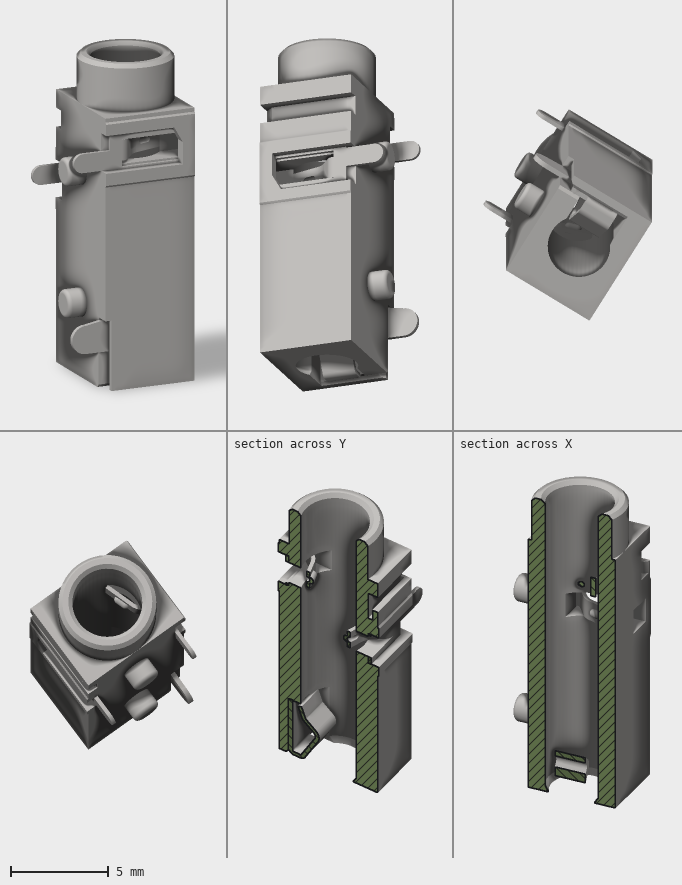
import cadquery as cq
import math

TOTAL_HEIGHT = 17.0
BODY_HEIGHT = 14.5
BODY_HALF_WIDTH = 3.03
SIDE_WIDTH = 6.2
SIDE_HALF_WIDTH = SIDE_WIDTH / 2
BODY_HALF_DEPTH = 2.5
FRONT_Y = -BODY_HALF_DEPTH
BACK_Y = BODY_HALF_DEPTH
TURN_Z = 11.17
HALF_TURN = 180
CUT_OVERSHOOT = 0.34

RIM_CHAMFER = 0.2
BORE_RADIUS = 1.78
BORE_END_RADIUS = 1.6
BORE_CONE_HEIGHT = 0.34

PEG_RADIUS = 0.75
PEG_LENGTH = 1.0
PEG_FILLET = 0.2
PEG_HEIGHTS = (4.0, 11.0)

BAND_BOTTOM = 8.04
BAND_TOP = 11.5
BAND_RAMP = 0.1

GROOVE_FLOOR_X = -2.45
GROOVE_BOTTOM = 12.51
GROOVE_TOP = 13.52
GROOVE_CORNER_CHAMFER = 0.42
SLIT_DEPTH = 0.68
SLIT_OUTER_X = -2.69
SLIT_LEAD_IN = 0.2
SLIT_FRONT_Y = -2.35

POCKET_BOTTOM = 8.74
POCKET_TOP = 10.75
POCKET_BACK_Y = 1.8
POCKET_CHAMFER_Y = 0.48
POCKET_CHAMFER_Z = 0.82
PLATE_INNER_X = -2.45
PLATE_THICKNESS = 0.2
PLATE_OUTER_X = PLATE_INNER_X - PLATE_THICKNESS
LEFT_RELIEF = 0.1
PLATE_FRONT_Y = -2.07
WINDOW_FRONT_Y = -1.4
WINDOW_BOTTOM = 9.16
WINDOW_TOP = 10.62
TAB_TIP_Y = -4.1
TAB_WIDTH = 1.0
TAB_TOP = 10.7

ARM_BOTTOM = 9.18
ARM_TOP = 10.28
ARM_STEEP_ANGLE = 52.0
ARM_REST_ANGLE = 17.6
ARM_FIRST_BEND_Y = -1.19
ARM_SECOND_BEND_Y = -0.4
ARM_END_Y = 1.4
ARM_BEND_RADII = (0.4, 0.92)
DIMPLE_Y = 0.4
DIMPLE_Z = 9.72
DIMPLE_SPAN = 0.42
DIMPLE_OUTER_RADIUS = 0.22
DIMPLE_INNER_RADIUS = 0.162

CHAMBER_TOP = 10.52
CHAMBER_INNER_X = -1.12
CHAMBER_OUTER_X = -2.53

TIP_PLATE_INNER_X = 2.2
TIP_PLATE_OUTER_X = 2.45
TIP_THICKNESS = TIP_PLATE_OUTER_X - TIP_PLATE_INNER_X
TIP_SLOT_TOP = 3.74
TIP_SLOT_HALF_DEPTH = 1.31
TIP_STEP_X = 2.77
TIP_STEP_DEPTH = 0.34
TIP_LEAD_IN = 0.17
TIP_TAB_RADIUS = 0.75
TIP_TAB_Z = 2.7
TIP_TAB_TIP_Y = -4.1
TIP_TAB_ROOT_TOP = 3.6
TIP_SPRING_FRONT_Y = -0.95
TIP_SPRING_BACK_Y = 0.8
TIP_FOOT_X = 1.62
TIP_CREST_X = 0.58
TIP_CREST_Z = 2.04
TIP_FLANK_X = 1.5
TIP_FLANK_Z = 2.8
TIP_END_X = 1.77
TIP_END_Z = 3.57
TIP_BEND_RADII = (0.2, 0.2, 0.4, 0.2)

STEP_FRONT_Y = FRONT_Y + TIP_STEP_DEPTH
TIP_PLATE_FRONT_Y = STEP_FRONT_Y + TIP_STEP_X - TIP_PLATE_OUTER_X


def box(x_range, y_range, z_range):
    """Axis-aligned box between the given limits."""
    limits = (x_range, y_range, z_range)
    size = [high - low for low, high in limits]
    corner = cq.Vector(*[low for low, high in limits])
    return cq.Workplane(cq.Solid.makeBox(*size, corner))


def turned(shape, angle=HALF_TURN):
    """Copy turned about the Y direction; a half turn carries the left side to the right side."""
    return shape.rotate((0, 0, TURN_Z), (0, 1, TURN_Z), angle)


def bent_strip(plane, corners, radii, thickness):
    """Closed outline of a strip whose centreline turns at the inner corners with the given radii."""
    points = [cq.Vector(*corner) for corner in corners]
    directions = [(b - a).normalized() for a, b in zip(points, points[1:])]
    normals = [cq.Vector(-d.y, d.x) for d in directions]

    def side_segments(offset):
        start = points[0] + normals[0] * offset
        segments = []
        for i, radius in enumerate(radii):
            before, after = directions[i], directions[i + 1]
            turn = math.copysign(1, before.cross(after).z)
            setback = radius * math.tan(before.getAngle(after) / 2)
            bend_start = points[i + 1] - before * setback
            bend_end = points[i + 1] + after * setback
            centre = bend_start + normals[i] * (turn * radius)
            outward = (normals[i] + normals[i + 1]).normalized() * -turn
            middle = centre + outward * (radius - turn * offset)
            segments.append((bend_start + normals[i] * offset, middle, bend_end + normals[i + 1] * offset))
        return start, segments, points[-1] + normals[-1] * offset

    def flat(point):
        return (point.x, point.y)

    start, left_bends, left_end = side_segments(thickness / 2)
    right_start, right_bends, right_end = side_segments(-thickness / 2)
    outline = cq.Workplane(plane).moveTo(*flat(start))
    for bend_start, middle, bend_end in left_bends:
        outline = outline.lineTo(*flat(bend_start)).threePointArc(flat(middle), flat(bend_end))
    outline = outline.lineTo(*flat(left_end)).lineTo(*flat(right_end))
    for bend_start, middle, bend_end in reversed(right_bends):
        outline = outline.lineTo(*flat(bend_end)).threePointArc(flat(middle), flat(bend_start))
    return outline.lineTo(*flat(right_start)).close()


def capsule(centre, direction, span, radius):
    """Rod with ball ends, centred on a point: half a stadium turned about its long axis."""
    plane = cq.Plane(origin=centre, xDir=direction, normal=(0, 0, 1))
    half_span = span / 2
    return (
        cq.Workplane(plane)
        .moveTo(-half_span - radius, 0)
        .threePointArc(
            (-half_span - radius * math.sqrt(0.5), radius * math.sqrt(0.5)),
            (-half_span, radius),
        )
        .lineTo(half_span, radius)
        .threePointArc(
            (half_span + radius * math.sqrt(0.5), radius * math.sqrt(0.5)),
            (half_span + radius, 0),
        )
        .close()
        .revolve(360, (0, 0), (1, 0))
    )


def pocket_outline(x):
    """Side pocket outline in the YZ plane: a rectangle with its lower back corner cut off."""
    return cq.Workplane("YZ", origin=(x, 0, 0)).polyline([
        (FRONT_Y, POCKET_BOTTOM),
        (POCKET_BACK_Y - POCKET_CHAMFER_Y, POCKET_BOTTOM),
        (POCKET_BACK_Y, POCKET_BOTTOM + POCKET_CHAMFER_Z),
        (POCKET_BACK_Y, POCKET_TOP),
        (FRONT_Y, POCKET_TOP),
    ]).close()


def side_band():
    """Raised band with ramped ends on the left side."""
    return (
        cq.Workplane("XZ", origin=(0, BACK_Y, 0))
        .polyline([
            (0, BAND_BOTTOM),
            (-BODY_HALF_WIDTH, BAND_BOTTOM),
            (-SIDE_HALF_WIDTH, BAND_BOTTOM + BAND_RAMP),
            (-SIDE_HALF_WIDTH, BAND_TOP - BAND_RAMP),
            (-BODY_HALF_WIDTH, BAND_TOP),
            (0, BAND_TOP),
        ])
        .close()
        .extrude(2 * BODY_HALF_DEPTH)
    )


def bore():
    """Through bore with a chamfered rim and a conical end at the bottom."""
    chamfer_bottom = TOTAL_HEIGHT - RIM_CHAMFER
    return (
        cq.Workplane("XZ")
        .polyline([
            (0, 0),
            (BORE_END_RADIUS, 0),
            (BORE_RADIUS, BORE_CONE_HEIGHT),
            (BORE_RADIUS, chamfer_bottom),
            (BORE_RADIUS + RIM_CHAMFER, TOTAL_HEIGHT),
            (0, TOTAL_HEIGHT),
        ])
        .close()
        .revolve(360, (0, 0), (0, 1))
    )


def side_recess():
    """Left contact pocket plus the spring chamber that joins it to the bore and the back face."""
    outside_x = -SIDE_HALF_WIDTH - CUT_OVERSHOOT
    pocket = pocket_outline(outside_x).extrude(PLATE_INNER_X - outside_x)
    chamber = box(
        (CHAMBER_OUTER_X, CHAMBER_INNER_X),
        (WINDOW_FRONT_Y, BACK_Y),
        (WINDOW_BOTTOM, CHAMBER_TOP),
    )
    return pocket.union(chamber)


def left_relief():
    """Narrow gap behind the front part of the left contact plate."""
    return box(
        (PLATE_INNER_X, PLATE_INNER_X + LEFT_RELIEF),
        (FRONT_Y, WINDOW_FRONT_Y),
        (POCKET_BOTTOM, POCKET_TOP),
    )


def side_groove():
    """Groove across the left side, cutting deeper at a slant toward the back corner."""
    slant_x = GROOVE_FLOOR_X + GROOVE_CORNER_CHAMFER
    return (
        cq.Workplane("XY", origin=(0, 0, GROOVE_BOTTOM))
        .polyline([
            (-SIDE_HALF_WIDTH, FRONT_Y),
            (GROOVE_FLOOR_X, FRONT_Y),
            (GROOVE_FLOOR_X, BACK_Y - GROOVE_CORNER_CHAMFER),
            (slant_x, BACK_Y),
            (-SIDE_HALF_WIDTH, BACK_Y),
        ])
        .close()
        .extrude(GROOVE_TOP - GROOVE_BOTTOM)
    )


def groove_slit():
    """Slit running down from the groove along its floor, with a slanted lead-in at the back."""
    return (
        cq.Workplane("XY", origin=(0, 0, GROOVE_BOTTOM - SLIT_DEPTH))
        .polyline([
            (GROOVE_FLOOR_X, SLIT_FRONT_Y),
            (GROOVE_FLOOR_X, BACK_Y - GROOVE_CORNER_CHAMFER),
            (GROOVE_FLOOR_X + GROOVE_CORNER_CHAMFER, BACK_Y),
            (SLIT_OUTER_X - SLIT_LEAD_IN, BACK_Y),
            (SLIT_OUTER_X, BACK_Y - SLIT_LEAD_IN),
            (SLIT_OUTER_X, SLIT_FRONT_Y),
        ])
        .close()
        .extrude(SLIT_DEPTH)
    )


def tip_slot():
    """Slot for the tip contact: stepped mouth at the front corner, chamber open to the bore and bottom."""
    outside_x = BODY_HALF_WIDTH + CUT_OVERSHOOT
    mouth = (
        cq.Workplane("XY")
        .polyline([
            (TIP_PLATE_INNER_X, FRONT_Y),
            (outside_x, FRONT_Y),
            (outside_x, STEP_FRONT_Y),
            (TIP_STEP_X, STEP_FRONT_Y),
            (TIP_PLATE_OUTER_X, TIP_PLATE_FRONT_Y),
            (TIP_PLATE_OUTER_X, TIP_SLOT_HALF_DEPTH),
            (TIP_PLATE_INNER_X, TIP_SLOT_HALF_DEPTH),
        ])
        .close()
        .extrude(TIP_SLOT_TOP)
    )
    chamber = box(
        (0, TIP_PLATE_INNER_X),
        (-TIP_SLOT_HALF_DEPTH, TIP_SLOT_HALF_DEPTH),
        (0, TIP_SLOT_TOP),
    )
    lead_in = (
        cq.Workplane("XZ", origin=(0, TIP_SLOT_HALF_DEPTH, 0))
        .polyline([
            (TIP_PLATE_INNER_X - TIP_LEAD_IN, 0),
            (TIP_PLATE_INNER_X, TIP_LEAD_IN),
            (TIP_PLATE_OUTER_X, TIP_LEAD_IN),
            (TIP_PLATE_OUTER_X + TIP_LEAD_IN, 0),
        ])
        .close()
        .extrude(TIP_SLOT_HALF_DEPTH - FRONT_Y)
    )
    return mouth.union(chamber).union(lead_in)


def make_housing():
    body = box(
        (-BODY_HALF_WIDTH, BODY_HALF_WIDTH),
        (FRONT_Y, BACK_Y),
        (0, BODY_HEIGHT),
    )
    collar = (
        cq.Workplane("XY", origin=(0, 0, BODY_HEIGHT))
        .circle(BODY_HALF_DEPTH)
        .extrude(TOTAL_HEIGHT - BODY_HEIGHT)
        .faces(">Z")
        .chamfer(RIM_CHAMFER)
    )
    body = body.union(side_band()).union(turned(side_band())).union(collar)
    for height in PEG_HEIGHTS:
        peg = (
            cq.Workplane("XZ", origin=(0, FRONT_Y, height))
            .circle(PEG_RADIUS)
            .extrude(PEG_LENGTH)
            .faces("<Y")
            .edges()
            .fillet(PEG_FILLET)
        )
        body = body.union(peg)
    for cutter in (
        bore(),
        side_recess(),
        turned(side_recess()),
        left_relief(),
        side_groove(),
        groove_slit(),
        tip_slot(),
    ):
        body = body.cut(cutter)
    return body


def spring_arm():
    """Arm that bends out of the plate toward the bore and then runs back beside it."""
    steep = math.tan(math.radians(ARM_STEEP_ANGLE))
    rest = math.tan(math.radians(ARM_REST_ANGLE))
    plate_x = PLATE_INNER_X - PLATE_THICKNESS / 2
    second_x = plate_x + steep * (ARM_SECOND_BEND_Y - ARM_FIRST_BEND_Y)
    end_x = second_x + rest * (ARM_END_Y - ARM_SECOND_BEND_Y)
    corners = [
        (plate_x, WINDOW_FRONT_Y),
        (plate_x, ARM_FIRST_BEND_Y),
        (second_x, ARM_SECOND_BEND_Y),
        (end_x, ARM_END_Y),
    ]
    arm = bent_strip("XY", corners, ARM_BEND_RADII, PLATE_THICKNESS).extrude(ARM_TOP - ARM_BOTTOM)
    arm = arm.translate((0, 0, ARM_BOTTOM))

    along = cq.Vector(rest, 1, 0).normalized()
    toward_bore = cq.Vector(along.y, -along.x, 0)
    dimple_x = second_x + rest * (DIMPLE_Y - ARM_SECOND_BEND_Y)
    middle = cq.Vector(dimple_x, DIMPLE_Y, DIMPLE_Z)
    half_thickness = toward_bore * (PLATE_THICKNESS / 2)
    bulge = capsule(middle + half_thickness, along, DIMPLE_SPAN, DIMPLE_OUTER_RADIUS)
    hollow = capsule(middle - half_thickness, along, DIMPLE_SPAN, DIMPLE_INNER_RADIUS)
    return arm.union(bulge).cut(hollow)


def make_side_contact():
    """Left contact: U-shaped plate in the pocket, solder tab to the front, spring arm to the bore."""
    plate = pocket_outline(PLATE_OUTER_X).extrude(PLATE_THICKNESS)
    across = (PLATE_OUTER_X, PLATE_INNER_X)
    plate = plate.cut(box(across, (FRONT_Y, PLATE_FRONT_Y), (POCKET_BOTTOM, POCKET_TOP)))
    plate = plate.cut(box(across, (WINDOW_FRONT_Y, POCKET_BACK_Y), (WINDOW_BOTTOM, WINDOW_TOP)))
    tab_radius = TAB_WIDTH / 2
    tab_end_y = TAB_TIP_Y + tab_radius
    tab_bottom = TAB_TOP - TAB_WIDTH
    tab = (
        cq.Workplane("YZ", origin=(PLATE_OUTER_X, 0, 0))
        .moveTo(PLATE_FRONT_Y, TAB_TOP)
        .lineTo(tab_end_y, TAB_TOP)
        .threePointArc((TAB_TIP_Y, tab_bottom + tab_radius), (tab_end_y, tab_bottom))
        .lineTo(PLATE_FRONT_Y, tab_bottom)
        .close()
        .extrude(PLATE_THICKNESS)
    )
    return plate.union(tab).union(spring_arm())


def make_tip_contact():
    """Upright plate with a solder tab, and a spring that rises from its foot to a rounded crest."""
    plate = box(
        (TIP_PLATE_INNER_X, TIP_PLATE_OUTER_X),
        (TIP_PLATE_FRONT_Y, TIP_SPRING_BACK_Y),
        (TIP_LEAD_IN, TIP_SLOT_TOP),
    )
    tab_end_y = TIP_TAB_TIP_Y + TIP_TAB_RADIUS
    tab_bottom = TIP_TAB_Z - TIP_TAB_RADIUS
    tab = (
        cq.Workplane("YZ", origin=(TIP_PLATE_INNER_X, 0, 0))
        .moveTo(TIP_PLATE_FRONT_Y, TIP_TAB_ROOT_TOP)
        .lineTo(FRONT_Y, TIP_TAB_ROOT_TOP)
        .lineTo(tab_end_y, TIP_TAB_Z + TIP_TAB_RADIUS)
        .threePointArc((TIP_TAB_TIP_Y, TIP_TAB_Z), (tab_end_y, tab_bottom))
        .lineTo(TIP_PLATE_FRONT_Y, tab_bottom)
        .close()
        .extrude(TIP_THICKNESS)
    )
    plate_x = (TIP_PLATE_INNER_X + TIP_PLATE_OUTER_X) / 2
    foot_z = TIP_THICKNESS / 2
    corners = [
        (plate_x, TIP_TAB_Z),
        (plate_x, foot_z),
        (TIP_FOOT_X, foot_z),
        (TIP_CREST_X, TIP_CREST_Z),
        (TIP_FLANK_X, TIP_FLANK_Z),
        (TIP_END_X, TIP_END_Z),
    ]
    spring_width = TIP_SPRING_BACK_Y - TIP_SPRING_FRONT_Y
    spring = bent_strip("XZ", corners, TIP_BEND_RADII, TIP_THICKNESS).extrude(spring_width)
    spring = spring.translate((0, TIP_SPRING_BACK_Y, 0))
    return plate.union(tab).union(spring)


housing = make_housing()
tip_contact = make_tip_contact()
side_contacts = []
for angle in (0, HALF_TURN):
    side_contacts.append(turned(make_side_contact(), angle).val())

result = cq.Compound.makeCompound([housing.val(), tip_contact.val(), *side_contacts])